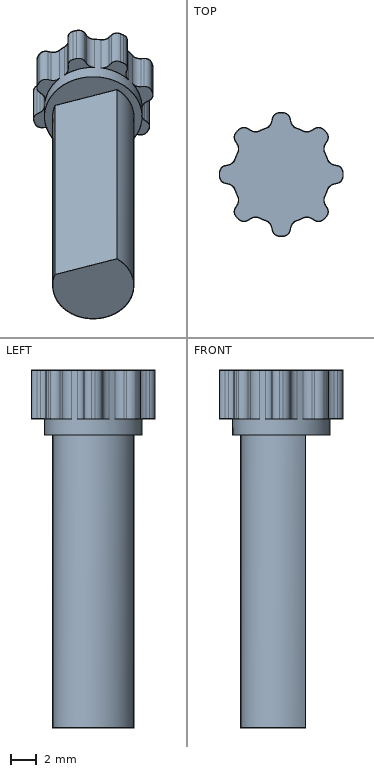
import cadquery as cq
import math

total_height = 27.94
knob_height = 3.81
collar_height = 1.27
shank_height = total_height - knob_height - collar_height
knob_base_height = shank_height + collar_height

shank_diameter = 6.35
shank_radius = shank_diameter / 2
flat_offset = 1.905

collar_diameter = 7.62
collar_radius = collar_diameter / 2

tooth_count = 8
tooth_pitch = 2 * math.pi / tooth_count
knob_diameter = 9.652
tip_radius = knob_diameter / 2
root_radius = collar_radius
tip_flat_width = 0.254
root_chord_width = 0.508
tip_rounding = 0.585
root_rounding = 0.712


def polar(distance, angle):
    """Point at a distance from the origin, with the angle measured from +X."""
    return cq.Vector(distance * math.cos(angle), distance * math.sin(angle))


def half_tooth_points():
    """Points from the tip flat down one side of the tooth on the +X axis.

    The tip rounding bulges out, the root rounding curves in onto the root circle,
    and a straight flank touches both of them.
    """
    root_angle = tooth_pitch / 2 - math.asin(root_chord_width / 2 / root_radius)
    tip_center = cq.Vector(tip_radius - tip_rounding, tip_flat_width / 2)
    root_center = polar(root_radius + root_rounding, root_angle)

    between = root_center - tip_center
    between_angle = math.atan2(between.y, between.x)
    flank_turn = math.acos((tip_rounding + root_rounding) / between.Length)
    flank_normal = between_angle - flank_turn
    tip_middle_angle = flank_normal / 2
    root_middle_angle = (flank_normal + root_angle) / 2

    tip_start = cq.Vector(tip_radius, tip_flat_width / 2)
    tip_middle = tip_center + polar(tip_rounding, tip_middle_angle)
    tip_end = tip_center + polar(tip_rounding, flank_normal)
    root_start = root_center - polar(root_rounding, flank_normal)
    root_middle = root_center - polar(root_rounding, root_middle_angle)
    root_end = polar(root_radius, root_angle)
    return [tip_start, tip_middle, tip_end, root_start, root_middle, root_end]


def make_tooth():
    """Tooth on the +X axis, closed by a chord that lies inside the root circle."""
    fall = [(point.x, point.y) for point in half_tooth_points()]
    rise = [(x, -y) for x, y in reversed(fall)]
    return (
        cq.Workplane("XY")
        .workplane(offset=knob_base_height)
        .moveTo(*rise[0])
        .threePointArc(rise[1], rise[2])
        .lineTo(*rise[3])
        .threePointArc(rise[4], rise[5])
        .lineTo(*fall[0])
        .threePointArc(fall[1], fall[2])
        .lineTo(*fall[3])
        .threePointArc(fall[4], fall[5])
        .close()
        .extrude(knob_height)
    )


def make_shank():
    """D-shaped shank standing on the XY plane."""
    bar = cq.Workplane("XY").circle(shank_radius).extrude(shank_height)
    kept_width = shank_radius + flat_offset
    kept_side = (
        cq.Workplane("XY")
        .center(flat_offset - kept_width / 2, 0)
        .rect(kept_width, shank_diameter)
        .extrude(shank_height)
    )
    return bar.intersect(kept_side)


def make_collar_and_core():
    """Round collar on top of the shank, continuing up as the core of the knob."""
    return (
        cq.Workplane("XY")
        .workplane(offset=shank_height)
        .circle(collar_radius)
        .extrude(collar_height + knob_height)
    )


result = make_shank().union(make_collar_and_core())
tooth_on_x = make_tooth()
for tooth in range(tooth_count):
    turn = math.degrees(tooth * tooth_pitch)
    result = result.union(tooth_on_x.rotate((0, 0, 0), (0, 0, 1), turn))
result = result.clean()